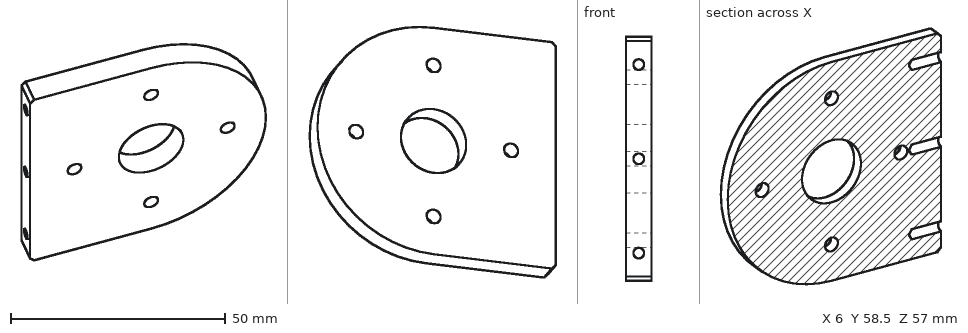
import cadquery as cq
import math

thickness = 6.0
round_radius = 28.5
edge_distance = 30.0
corner_chamfer = 1.0

bore_diameter = 16.0
bolt_hole_diameter = 3.4
bolt_circle_radius = 19.0
bolt_count = 4

edge_hole_diameter = 2.5
edge_hole_depth = 8.0
edge_hole_spacing = 22.0
drill_tip_angle = 118.0


def make_plate():
    """D-shaped plate centred on the bore axis, with chamfered mounting-edge corners."""
    edge_y = -edge_distance
    chamfer_y = edge_y + corner_chamfer
    chamfer_z = round_radius - corner_chamfer
    return (
        cq.Workplane("YZ", origin=(-thickness / 2, 0, 0))
        .moveTo(edge_y, -chamfer_z)
        .lineTo(chamfer_y, -round_radius)
        .lineTo(0, -round_radius)
        .threePointArc((round_radius, 0), (0, round_radius))
        .lineTo(chamfer_y, round_radius)
        .lineTo(edge_y, chamfer_z)
        .close()
        .extrude(thickness)
    )


def through_holes():
    """Central bore and the bolt holes around it."""
    plane = cq.Workplane("YZ", origin=(-thickness / 2, 0, 0))
    bore = plane.circle(bore_diameter / 2).extrude(thickness)
    bolts = (
        plane.polarArray(bolt_circle_radius, 0, 360, bolt_count)
        .circle(bolt_hole_diameter / 2)
        .extrude(thickness)
    )
    return bore.union(bolts)


def edge_hole(z):
    """Drilled hole with a conical bottom, entering the mounting edge at height z."""
    radius = edge_hole_diameter / 2
    tip_length = radius / math.tan(math.radians(drill_tip_angle / 2))
    bottom_y = edge_hole_depth - edge_distance
    return (
        cq.Workplane("XY")
        .moveTo(0, -edge_distance)
        .lineTo(radius, -edge_distance)
        .lineTo(radius, bottom_y)
        .lineTo(0, bottom_y + tip_length)
        .close()
        .revolve(360, (0, 0, 0), (0, 1, 0))
        .translate((0, 0, z))
    )


result = make_plate().cut(through_holes())
for hole_z in (-edge_hole_spacing, 0, edge_hole_spacing):
    result = result.cut(edge_hole(hole_z))